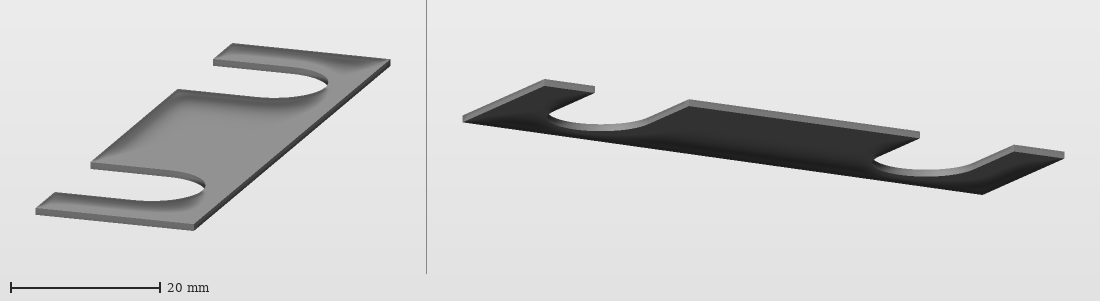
import cadquery as cq

width = 22.5
length = 80.0
thickness = 1.0

slot_width = 14.5
slot_spacing = 50.0
slot_radius = slot_width / 2
slot_center_x = 0.0


def slot_cutter(center_y):
    """Straight channel from the -X edge, ending in a half circle."""
    edge_x = -width / 2
    lower_y = center_y - slot_radius
    upper_y = center_y + slot_radius
    return (
        cq.Workplane("XY")
        .moveTo(edge_x, lower_y)
        .lineTo(slot_center_x, lower_y)
        .threePointArc((slot_center_x + slot_radius, center_y), (slot_center_x, upper_y))
        .lineTo(edge_x, upper_y)
        .close()
        .extrude(thickness)
    )


result = cq.Workplane("XY").box(width, length, thickness, centered=(True, True, False))
for side in (-1, 1):
    result = result.cut(slot_cutter(side * slot_spacing / 2))